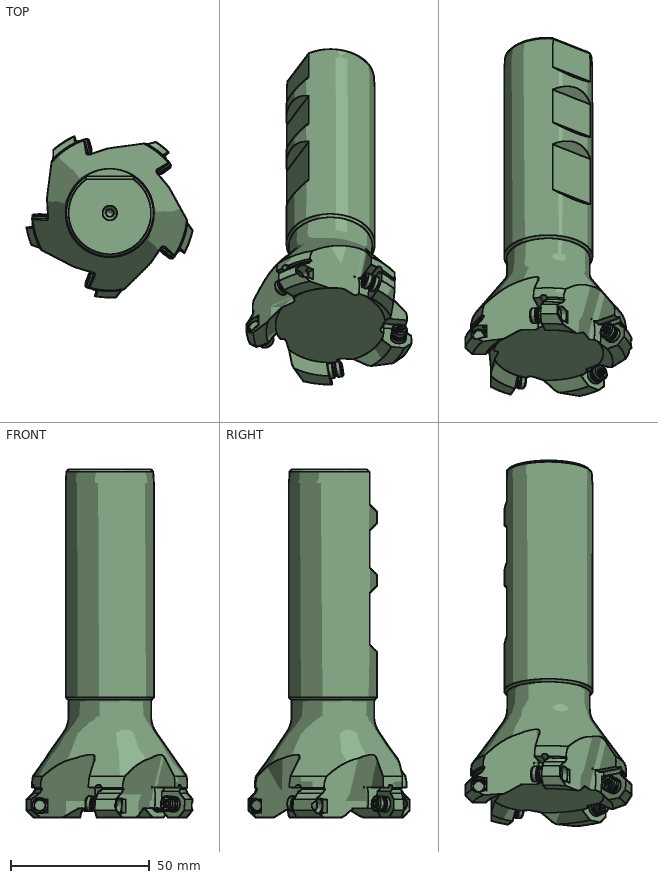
import cadquery as cq
import math


MARGIN = 1.3

TOTAL_LENGTH = 125.8
SHANK_RADIUS = 16.0
SHANK_END_Z = 43.4
SHANK_END_CHAMFER = 0.9
LEAD_IN_Z = 120.7
LEAD_IN_RADIUS = 15.7
TOP_CHAMFER = 0.9
NECK_RADIUS = 15.0
NECK_TOP_Z = 41.9
NECK_BOTTOM_Z = 36.5
NECK_FILLET = 10.0
CONE_ANGLE = math.radians(35)

FLAT_Y = 13.3
FLAT_STEP = SHANK_RADIUS - FLAT_Y
FLAT_TOP_CHAMFER = 1.1
FLAT_SPANS = [(62.4, 81.0), (90.2, 103.6), (113.1, TOTAL_LENGTH)]

CENTRE_MOUTH_RADIUS = 2.6
CENTRE_HOLE_RADIUS = 1.4
CENTRE_CONE_DEPTH = 2.3
CENTRE_HOLE_DEPTH = 5.7

LAND_RADIUS = 30.5
LAND_BOTTOM_Z = 2.6
LAND_TOP_Z = 6.5
LAND_SHOULDER_Z = 8.8
GROOVE_RADIUS = 27.7
GROOVE_Z = 10.3
COLLAR_RADIUS = 28.2
COLLAR_BOTTOM_Z = 10.8
COLLAR_TOP_Z = 13.0
CONE_FOOT_Z = 14.8
RECESS_DEPTH = 3.4
RECESS_MOUTH_RADIUS = 23.3
RECESS_INNER_RADIUS = RECESS_MOUTH_RADIUS - RECESS_DEPTH

TOOTH_ANGLES = [36, 105, 180, 250, 322]
SEAT_TILT = 4.0

FLUTE_BOTTOM_Z = -MARGIN
FLUTE_TOP_Z = 25.2
FLUTE_OUTER_X = 40.2
FLUTE_END_Y = -27.7
FLUTE_FACE_Y = 1.6
FLUTE_ROOT_FILLET = 1.4
INNER_FLOOR_LEAN_Z = 6.0
INNER_FLOOR_ROOT_X = 17.7
INNER_FLOOR_END_X = 25.2
INNER_FLOOR_TOP_ROOT_X = 22.8
INNER_FLOOR_TOP_END_X = 25.5
OUTER_FLOOR_LEAN_Z = 8.4
OUTER_FLOOR_X = 20.5
OUTER_FLOOR_TOP_START_X = 23.9
OUTER_FLOOR_TOP_END_X = 21.1

SEAT_Y = 5.3
SEAT_Z = 4.8
SEAT_WALL_X = 19.5
SEAT_ROOF_Z = 10.7
RELIEF_RADIUS = 1.1

SCREW_X = 25.3
HEAD_TOP = 4.8
HEAD_EDGE = 4.3
HEAD_UNDERSIDE = 2.8
GROOVE_TOP = 2.4
GROOVE_BOTTOM = 1.8
FLANGE_TOP = 1.4
SCREW_DEPTH = 5.8
SPOTFACE_DEPTH = 5.0
HEAD_RADIUS = 2.8
HEAD_TOP_RADIUS = 2.3
SCREW_GROOVE_RADIUS = 2.3
SHAFT_RADIUS = 2.0
SPOTFACE_RADIUS = 2.8
SPOTFACE_END_LENGTH = 2.9
SPOTFACE_END_HEIGHT = 4.8
SPOTFACE_END_DEPTH = 7.5
SOCKET_RADIUS = 1.1
SOCKET_LOBE_RADIUS = 0.4
SOCKET_LOBES = 6
SOCKET_DEPTH = 1.5


def revolved_body():
    fillet_drop = NECK_FILLET * math.sin(CONE_ANGLE)
    cone_top_z = NECK_BOTTOM_Z - fillet_drop
    cone_top_radius = NECK_RADIUS + NECK_FILLET * (1 - math.cos(CONE_ANGLE))
    cone_foot_radius = cone_top_radius + (cone_top_z - CONE_FOOT_Z) * math.tan(CONE_ANGLE)
    fillet_mid = (
        NECK_RADIUS + NECK_FILLET * (1 - math.cos(CONE_ANGLE / 2)),
        NECK_BOTTOM_Z - NECK_FILLET * math.sin(CONE_ANGLE / 2),
    )
    return (
        cq.Workplane("XZ")
        .moveTo(0, RECESS_DEPTH)
        .lineTo(RECESS_INNER_RADIUS, RECESS_DEPTH)
        .lineTo(RECESS_MOUTH_RADIUS, 0)
        .lineTo(LAND_RADIUS - LAND_BOTTOM_Z, 0)
        .lineTo(LAND_RADIUS, LAND_BOTTOM_Z)
        .lineTo(LAND_RADIUS, LAND_TOP_Z)
        .lineTo(LAND_RADIUS - (LAND_SHOULDER_Z - LAND_TOP_Z), LAND_SHOULDER_Z)
        .lineTo(GROOVE_RADIUS, GROOVE_Z)
        .lineTo(COLLAR_RADIUS, COLLAR_BOTTOM_Z)
        .lineTo(COLLAR_RADIUS, COLLAR_TOP_Z)
        .lineTo(cone_foot_radius, CONE_FOOT_Z)
        .lineTo(cone_top_radius, cone_top_z)
        .threePointArc(fillet_mid, (NECK_RADIUS, NECK_BOTTOM_Z))
        .lineTo(NECK_RADIUS, NECK_TOP_Z)
        .lineTo(SHANK_RADIUS - SHANK_END_CHAMFER, SHANK_END_Z - SHANK_END_CHAMFER)
        .lineTo(SHANK_RADIUS, SHANK_END_Z)
        .lineTo(SHANK_RADIUS, LEAD_IN_Z)
        .lineTo(LEAD_IN_RADIUS, TOTAL_LENGTH - TOP_CHAMFER)
        .lineTo(LEAD_IN_RADIUS - TOP_CHAMFER, TOTAL_LENGTH)
        .lineTo(0, TOTAL_LENGTH)
        .close()
        .revolve(360, (0, 0, 0), (0, 1, 0))
    )


def flat_cutter(bottom_z, top_z):
    """Flat-bottomed notch across the shank with 45 degree end walls."""
    profile = [
        (FLAT_Y, bottom_z),
        (FLAT_Y, top_z),
        (FLAT_Y + 2 * FLAT_STEP, top_z + 2 * FLAT_STEP),
        (FLAT_Y + 2 * FLAT_STEP, bottom_z - 2 * FLAT_STEP),
    ]
    return cq.Workplane("YZ").polyline(profile).close().extrude(SHANK_RADIUS, both=True)


def flat_end_chamfer():
    profile = [
        (FLAT_Y - FLAT_TOP_CHAMFER, TOTAL_LENGTH),
        (FLAT_Y, TOTAL_LENGTH),
        (FLAT_Y, TOTAL_LENGTH - FLAT_TOP_CHAMFER),
    ]
    return cq.Workplane("YZ").polyline(profile).close().extrude(SHANK_RADIUS, both=True)


def centre_hole():
    return (
        cq.Workplane("XZ")
        .polyline([
            (0, TOTAL_LENGTH),
            (CENTRE_MOUTH_RADIUS, TOTAL_LENGTH),
            (CENTRE_HOLE_RADIUS, TOTAL_LENGTH - CENTRE_CONE_DEPTH),
            (CENTRE_HOLE_RADIUS, TOTAL_LENGTH - CENTRE_HOLE_DEPTH),
            (0, TOTAL_LENGTH - CENTRE_HOLE_DEPTH - CENTRE_HOLE_RADIUS),
        ])
        .close()
        .revolve(360, (0, 0, 0), (0, 1, 0))
    )


def flute_face_y(z):
    """Y of the flute's leading face, which leans back with the insert seat."""
    return FLUTE_FACE_Y + (z - INNER_FLOOR_LEAN_Z) * math.tan(math.radians(SEAT_TILT))


def flute_section(z, start_x, start_y, end_x):
    """Horizontal slice of a flute from its floor line outward."""
    corners = [
        (start_x, start_y),
        (end_x, FLUTE_END_Y),
        (FLUTE_OUTER_X, FLUTE_END_Y),
        (FLUTE_OUTER_X, start_y),
    ]
    return cq.Wire.makePolygon([cq.Vector(x, y, z) for x, y in corners], close=True)


def inner_flute():
    cutter = cq.Workplane(cq.Solid.makeLoft(
        [
            flute_section(z, root_x, flute_face_y(z), end_x)
            for z, root_x, end_x in [
                (FLUTE_BOTTOM_Z, INNER_FLOOR_ROOT_X, INNER_FLOOR_END_X),
                (INNER_FLOOR_LEAN_Z, INNER_FLOOR_ROOT_X, INNER_FLOOR_END_X),
                (FLUTE_TOP_Z, INNER_FLOOR_TOP_ROOT_X, INNER_FLOOR_TOP_END_X),
            ]
        ],
        True,
    ))
    root_edges = cq.selectors.BoxSelector(
        (INNER_FLOOR_ROOT_X - MARGIN, flute_face_y(FLUTE_BOTTOM_Z) - MARGIN, FLUTE_BOTTOM_Z + MARGIN),
        (INNER_FLOOR_TOP_ROOT_X, flute_face_y(FLUTE_TOP_Z), FLUTE_TOP_Z - MARGIN),
    )
    return cutter.edges(root_edges).fillet(FLUTE_ROOT_FILLET)


def outer_flute():
    return cq.Workplane(cq.Solid.makeLoft(
        [
            flute_section(FLUTE_BOTTOM_Z, OUTER_FLOOR_X, 0, OUTER_FLOOR_X),
            flute_section(OUTER_FLOOR_LEAN_Z, OUTER_FLOOR_X, 0, OUTER_FLOOR_X),
            flute_section(FLUTE_TOP_Z, OUTER_FLOOR_TOP_START_X, 0, OUTER_FLOOR_TOP_END_X),
        ],
        True,
    ))


def tilt_seat(shape):
    """Lean a feature back with the insert seat."""
    return shape.rotate((0, SEAT_Y, SEAT_Z), (1, SEAT_Y, SEAT_Z), -SEAT_TILT)


def seat_cutter():
    outline = [
        (SEAT_WALL_X, FLUTE_BOTTOM_Z),
        (SEAT_WALL_X, SEAT_ROOF_Z),
        (FLUTE_OUTER_X, SEAT_ROOF_Z),
        (FLUTE_OUTER_X, FLUTE_BOTTOM_Z),
    ]
    depth = SEAT_Y - FLUTE_FACE_Y + 2 * MARGIN
    pocket = cq.Workplane("XZ", origin=(0, SEAT_Y, 0)).polyline(outline).close().extrude(depth)
    relief = (
        cq.Workplane("YZ", origin=(SEAT_WALL_X, SEAT_Y, SEAT_ROOF_Z))
        .circle(RELIEF_RADIUS)
        .extrude(FLUTE_OUTER_X - SEAT_WALL_X)
    )
    return tilt_seat(pocket.union(relief))


def screw_plane(height):
    """Plane across the screw axis at a height above the seat; its normal points out of the seat."""
    return cq.Workplane("XZ", origin=(SCREW_X, SEAT_Y - height, SEAT_Z))


def screw_hole_cutter():
    """Through hole with a spotface on the tooth back and a shallow squared end facing the tool axis."""
    hole = screw_plane(-SCREW_DEPTH).circle(SHAFT_RADIUS).extrude(SCREW_DEPTH + HEAD_TOP)
    spotface = screw_plane(-SPOTFACE_DEPTH).circle(SPOTFACE_RADIUS).extrude(-2 * SPOTFACE_DEPTH)
    squared_end = (
        screw_plane(-SPOTFACE_END_DEPTH)
        .center(-SPOTFACE_END_LENGTH / 2, 0)
        .rect(SPOTFACE_END_LENGTH, SPOTFACE_END_HEIGHT)
        .extrude(-SPOTFACE_DEPTH)
    )
    return tilt_seat(hole.union(spotface).union(squared_end))


def insert_screw():
    profile = [
        (0, -SCREW_DEPTH),
        (SHAFT_RADIUS, -SCREW_DEPTH),
        (SHAFT_RADIUS, 0),
        (HEAD_RADIUS, 0),
        (HEAD_RADIUS, FLANGE_TOP),
        (SCREW_GROOVE_RADIUS, GROOVE_BOTTOM),
        (SCREW_GROOVE_RADIUS, GROOVE_TOP),
        (HEAD_RADIUS, HEAD_UNDERSIDE),
        (HEAD_RADIUS, HEAD_EDGE),
        (HEAD_TOP_RADIUS, HEAD_TOP),
        (0, HEAD_TOP),
    ]
    plane = cq.Plane(origin=(SCREW_X, SEAT_Y, SEAT_Z), xDir=(1, 0, 0), normal=(0, 0, 1))
    shape = (
        cq.Workplane(plane)
        .polyline([(radius, -height) for radius, height in profile])
        .close()
        .revolve(360, (0, 0, 0), (0, 1, 0))
    )
    socket = screw_plane(HEAD_TOP).circle(SOCKET_RADIUS).extrude(-SOCKET_DEPTH)
    lobes = (
        screw_plane(HEAD_TOP)
        .polarArray(SOCKET_RADIUS, 0, 360, SOCKET_LOBES)
        .circle(SOCKET_LOBE_RADIUS)
        .extrude(-SOCKET_DEPTH)
    )
    return tilt_seat(shape.cut(socket.union(lobes)))


def at_tooth(shape, angle):
    return shape.rotate((0, 0, 0), (0, 0, 1), angle)


def milling_body():
    body = revolved_body()
    for bottom_z, top_z in FLAT_SPANS:
        body = body.cut(flat_cutter(bottom_z, top_z))
    body = body.cut(flat_end_chamfer()).cut(centre_hole())
    for cutter in (inner_flute(), outer_flute(), seat_cutter(), screw_hole_cutter()):
        for angle in TOOTH_ANGLES:
            body = body.cut(at_tooth(cutter, angle))
    return body


mill = milling_body()
screw = insert_screw()
screws = [at_tooth(screw, angle) for angle in TOOTH_ANGLES]

result = cq.Compound.makeCompound([mill.val(), *[placed.val() for placed in screws]])